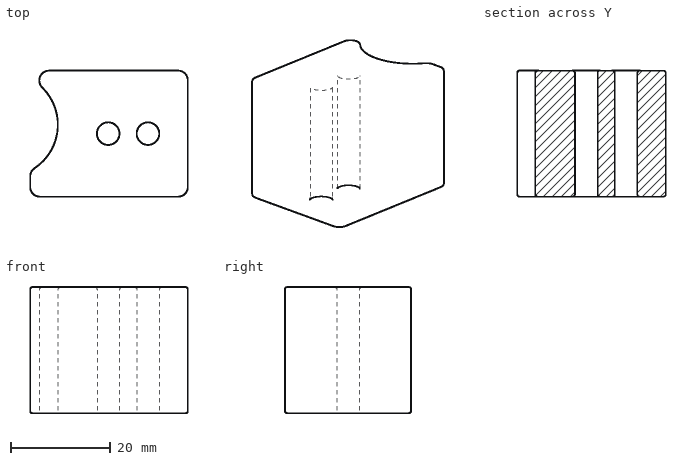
import cadquery as cq
import math

length = 31.75
width = 25.4
height = 25.4

corner_radius = 2.0
edge_radius = 0.5

cradle_radius = 10.5
cradle_depth = 5.57
cradle_x = cradle_depth - cradle_radius
cradle_y = 14.49

hole_diameter = 4.5
hole_spacing = 8.0
hole_end_distance = 8.04
hole_count = 2
hole_y = width / 2


def point_on_corner(center, angle):
    """Point on a rounded corner at an angle in radians from +X."""
    return (
        center[0] + corner_radius * math.cos(angle),
        center[1] + corner_radius * math.sin(angle),
    )


def angle_to_cradle(center):
    """Direction from a corner center to the cradle axis, where the two arcs touch."""
    return math.atan2(cradle_y - center[1], cradle_x - center[0]) % (2 * math.pi)


def make_outline():
    """Closed plan outline whose two cradle horns are arcs tangent to the cradle."""
    center_distance = cradle_radius + corner_radius

    lower_x = corner_radius
    lower_y = cradle_y - math.sqrt(center_distance**2 - (lower_x - cradle_x) ** 2)
    lower_center = (lower_x, lower_y)
    lower_touch = angle_to_cradle(lower_center)

    upper_y = width - corner_radius
    upper_x = cradle_x + math.sqrt(center_distance**2 - (upper_y - cradle_y) ** 2)
    upper_center = (upper_x, upper_y)
    upper_touch = angle_to_cradle(upper_center)

    top_tangent = math.pi / 2
    left_tangent = math.pi

    return (
        cq.Workplane("XY")
        .moveTo(0, 0)
        .lineTo(length, 0)
        .lineTo(length, width)
        .lineTo(*point_on_corner(upper_center, top_tangent))
        .threePointArc(
            point_on_corner(upper_center, (top_tangent + upper_touch) / 2),
            point_on_corner(upper_center, upper_touch),
        )
        .threePointArc(
            (cradle_depth, cradle_y),
            point_on_corner(lower_center, lower_touch),
        )
        .threePointArc(
            point_on_corner(lower_center, (lower_touch + left_tangent) / 2),
            point_on_corner(lower_center, left_tangent),
        )
        .close()
    )


def make_block():
    """Extruded outline with its three square corners rounded."""
    block = make_outline().extrude(height)
    square_corners = [(0, 0), (length, 0), (length, width)]
    for x, y in square_corners:
        corner_edge = cq.selectors.NearestToPointSelector((x, y, height / 2))
        block = block.edges(corner_edge).fillet(corner_radius)
    return block


def cut_holes(block):
    """Drill the row of through holes, measured from the +X face."""
    centers = [
        (length - hole_end_distance - i * hole_spacing, hole_y)
        for i in range(hole_count)
    ]
    drills = (
        cq.Workplane("XY")
        .pushPoints(centers)
        .circle(hole_diameter / 2)
        .extrude(height)
    )
    return block.cut(drills)


def round_end_edges(block):
    """Round every edge of the top and bottom faces, hole rims included."""
    return block.faces("<Z or >Z").edges().fillet(edge_radius)


result = round_end_edges(cut_holes(make_block()))